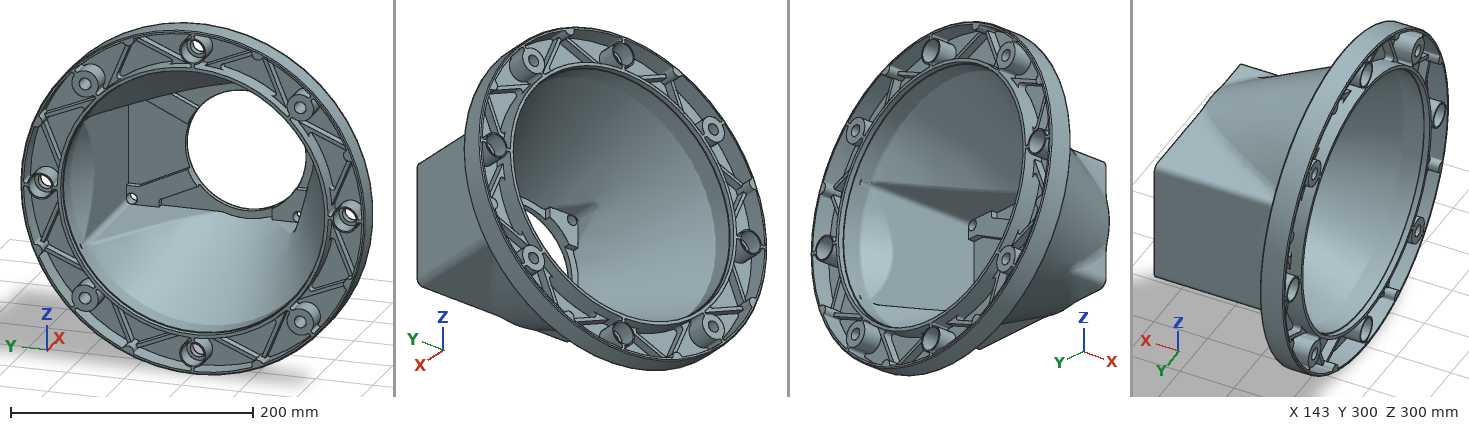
import cadquery as cq
import math

LENGTH = 143.0

FLANGE_RADIUS = 150.0
FLANGE_THICKNESS = 22.0
FLANGE_CHAMFER = 1.0
SPIGOT_RADIUS = 115.0
SPIGOT_DEPTH = 5.0
BORE_RADIUS = 114.2

POCKET_INNER_RADIUS = 118.0
POCKET_OUTER_RADIUS = 147.3
POCKET_DEPTH = 18.0
POCKET_CORNER = 1.4
RADIAL_RIB_WIDTH = 2.6
HUB_RADIUS = 5.0
HUB_CENTRE_RADIUS = 147.5
STRUT_WIDTH = 3.2
STRUT_TOP = 10.0
STRUT_LEAN = 45.0
STRUT_REACH = 60.0
STRUT_FOOT_ANGLE = 17.0
STRUT_FOOT_ROUND = 2.5
TOLERANCE = 0.01

BOLT_COUNT = 8
BOLT_STEP = 360.0 / BOLT_COUNT
BOLT_CIRCLE_RADIUS = 132.5
PLAIN_BOSS_RADIUS = 11.5
BUSH_BOSS_RADIUS = 11.3
PLAIN_HOLE_DIAMETER = 10.25
BUSH_HOLE_DIAMETER = 14.0
BUSH_BORE_DIAMETER = 20.15
BUSH_BORE_DEPTH = 15.0

CONE_BASE_RADIUS = 117.5
CONE_END_RADIUS = 61.0
CONE_SLOPE = (CONE_BASE_RADIUS - CONE_END_RADIUS) / (LENGTH - FLANGE_THICKNESS)

BOX_Y_MAX = 105.0
BOX_Y_MIN = -57.0
BOX_HALF_HEIGHT = 58.8
BOX_WIDE_CORNER = 6.4
BOX_NARROW_CORNER = 8.2
BOX_START = 5.0
BLEND_RADIUS = 12.0

CAVITY_Y_MAX = 101.9
CAVITY_Y_MIN = -54.3
CAVITY_HALF_HEIGHT = 55.7
CAVITY_CORNER = 4.7
CAVITY_START = 12.0
CAVITY_END_RADIUS = 59.2
CAVITY_CONE_START = 23.0
CAVITY_THROAT_ROUND = 5.0
CAVITY_BLEND = 4.0

FLOOR_X = 138.0
PAD_HEIGHT = 6.0
OPENING_DIAMETER = 105.0
MOUNT_HOLE_DIAMETER = 9.5
MOUNT_HOLE_Y = (97.2, -48.0)
MOUNT_HOLE_Z = 51.0
PAD_CORNER = 3.0
WIDE_PAD_OUTLINE = ((110, 39.7), (91.2, 39.7), (40, 15.8), (30, 29.5), (73.5, 49.3), (73.5, 65), (110, 65))
NARROW_PAD_OUTLINE = ((-25, 27), (-25, 65), (-65, 65), (-65, 27))


def at_x(x):
    """Workplane normal to X at the given station, with local axes Y and Z."""
    return cq.Workplane("YZ", origin=(x, 0, 0))


def disc(radius, start, end, centre=(0, 0)):
    return at_x(start).center(*centre).circle(radius).extrude(end - start)


def polar(radius, angle):
    return (radius * math.cos(math.radians(angle)), radius * math.sin(math.radians(angle)))


def box_block(y_min, y_max, half_height, start, end):
    return (
        at_x(start)
        .center((y_min + y_max) / 2, 0)
        .rect(y_max - y_min, 2 * half_height)
        .extrude(end - start)
    )


def flange_body():
    return disc(FLANGE_RADIUS, 0, FLANGE_THICKNESS).edges().chamfer(FLANGE_CHAMFER)


def outer_shell():
    """Cone and mounting box, blended into each other and trimmed at the back of the flange.

    The cone runs on through the flange so that the blend closes round the whole box.
    """
    full_base_radius = CONE_BASE_RADIUS + CONE_SLOPE * FLANGE_THICKNESS
    cone = (
        cq.Workplane("XY")
        .polyline([(0, 0), (0, full_base_radius), (LENGTH, CONE_END_RADIUS), (LENGTH, 0)])
        .close()
        .revolve(360, (0, 0, 0), (1, 0, 0))
    )
    box = box_block(BOX_Y_MIN, BOX_Y_MAX, BOX_HALF_HEIGHT, BOX_START, LENGTH)
    box = box.edges("|X and >Y").fillet(BOX_WIDE_CORNER)
    box = box.edges("|X and <Y").fillet(BOX_NARROW_CORNER)
    joined = cone.union(box)
    seams = [edge for edge in joined.edges().vals() if edge.geomType() in ("HYPERBOLA", "BSPLINE")]
    blended = joined.newObject(seams).fillet(BLEND_RADIUS)
    return blended.intersect(disc(FLANGE_RADIUS, FLANGE_THICKNESS, LENGTH))


def pads(cavity_box):
    """Raised areas round the mounting holes, running into the central opening."""
    start = FLOOR_X - PAD_HEIGHT
    wide = at_x(start).polyline(WIDE_PAD_OUTLINE).close().extrude(PAD_HEIGHT)
    wide = wide.edges("|X").fillet(PAD_CORNER)
    narrow = at_x(start).polyline(NARROW_PAD_OUTLINE).close().extrude(PAD_HEIGHT)
    upper = wide.union(narrow).intersect(cavity_box)
    return upper.union(upper.mirror("XY"))


def cavity_cone():
    """Spigot, bore and cone of the cavity, with a rounded edge where the bore meets the cone."""
    turn = math.atan2(BORE_RADIUS - CAVITY_END_RADIUS, FLOOR_X - CAVITY_CONE_START)
    tangent = CAVITY_THROAT_ROUND * math.tan(turn / 2)
    round_start = CAVITY_CONE_START - tangent
    round_middle = (
        round_start + CAVITY_THROAT_ROUND * math.sin(turn / 2),
        BORE_RADIUS - CAVITY_THROAT_ROUND * (1 - math.cos(turn / 2)),
    )
    round_end = (
        CAVITY_CONE_START + tangent * math.cos(turn),
        BORE_RADIUS - tangent * math.sin(turn),
    )
    return (
        cq.Workplane("XY")
        .moveTo(0, 0)
        .lineTo(0, SPIGOT_RADIUS)
        .lineTo(SPIGOT_DEPTH, SPIGOT_RADIUS)
        .lineTo(SPIGOT_DEPTH, BORE_RADIUS)
        .lineTo(round_start, BORE_RADIUS)
        .threePointArc(round_middle, round_end)
        .lineTo(FLOOR_X, CAVITY_END_RADIUS)
        .lineTo(FLOOR_X, 0)
        .close()
        .revolve(360, (0, 0, 0), (1, 0, 0))
    )


def cavity():
    box = box_block(CAVITY_Y_MIN, CAVITY_Y_MAX, CAVITY_HALF_HEIGHT, CAVITY_START, FLOOR_X)
    box = box.edges("|X").fillet(CAVITY_CORNER)
    joined = cavity_cone().union(box)
    seams = [edge for edge in joined.edges().vals() if edge.geomType() == "HYPERBOLA"]
    blended = joined.newObject(seams).fillet(CAVITY_BLEND)
    return blended.cut(pads(box))


def is_strut_foot(edge, hub_angle):
    """True where a strut meets the inner wall on the side facing the other strut of its hub."""
    middle = edge.Center()
    on_inner_wall = abs(math.hypot(middle.y, middle.z) - POCKET_INNER_RADIUS) < TOLERANCE
    beside_strut = abs(edge.Length() - (POCKET_DEPTH - STRUT_TOP)) < TOLERANCE
    offset = abs(math.degrees(math.atan2(middle.z, middle.y)) - hub_angle)
    return on_inner_wall and beside_strut and offset < STRUT_FOOT_ANGLE


def bolt_sector_pocket():
    """Pockets between a bushed boss on +Y and the plain boss one bolt step further round."""
    ring = disc(POCKET_OUTER_RADIUS, 0, POCKET_DEPTH).cut(disc(POCKET_INNER_RADIUS, 0, POCKET_DEPTH))
    far_corner = polar(2 * FLANGE_RADIUS, BOLT_STEP)
    wedge = (
        at_x(0)
        .polyline([(0, 0), (2 * FLANGE_RADIUS, 0), far_corner])
        .close()
        .extrude(POCKET_DEPTH)
    )
    pocket = ring.intersect(wedge)
    for angle, boss_radius in ((0, BUSH_BOSS_RADIUS), (BOLT_STEP, PLAIN_BOSS_RADIUS)):
        rib = at_x(0).rect(2 * FLANGE_RADIUS, RADIAL_RIB_WIDTH).extrude(POCKET_DEPTH)
        pocket = pocket.cut(rib.rotate((0, 0, 0), (1, 0, 0), angle))
        pocket = pocket.cut(disc(boss_radius, 0, POCKET_DEPTH, polar(BOLT_CIRCLE_RADIUS, angle)))
    hub_angle = BOLT_STEP / 2
    hub = polar(HUB_CENTRE_RADIUS, hub_angle)
    pocket = pocket.cut(disc(HUB_RADIUS, 0, POCKET_DEPTH, hub))
    pocket = pocket.edges("|X").fillet(POCKET_CORNER)
    for lean in (-STRUT_LEAN, STRUT_LEAN):
        strut = (
            at_x(STRUT_TOP)
            .center(STRUT_REACH / 2, 0)
            .rect(STRUT_REACH, STRUT_WIDTH)
            .extrude(POCKET_DEPTH - STRUT_TOP)
            .rotate((0, 0, 0), (1, 0, 0), hub_angle + 180 + lean)
            .translate((0, *hub))
        )
        pocket = pocket.cut(strut)
    feet = [edge for edge in pocket.edges("|X").vals() if is_strut_foot(edge, hub_angle)]
    return pocket.newObject(feet).fillet(STRUT_FOOT_ROUND)


def pocket_cutter():
    sector = bolt_sector_pocket()
    pair = sector.add(sector.mirror("XY")).combine()
    cutter = pair
    for angle in (90, 180, 270):
        cutter = cutter.add(pair.rotate((0, 0, 0), (1, 0, 0), angle))
    return cutter.combine()


def cut_flange_holes(body):
    for i in range(BOLT_COUNT):
        centre = polar(BOLT_CIRCLE_RADIUS, i * BOLT_STEP)
        if i % 2:
            body = body.cut(disc(PLAIN_HOLE_DIAMETER / 2, 0, FLANGE_THICKNESS, centre))
        else:
            body = body.cut(disc(BUSH_BORE_DIAMETER / 2, 0, BUSH_BORE_DEPTH, centre))
            body = body.cut(disc(BUSH_HOLE_DIAMETER / 2, 0, FLANGE_THICKNESS, centre))
    return body


def cut_end_wall_holes(body):
    body = body.cut(disc(OPENING_DIAMETER / 2, FLANGE_THICKNESS, LENGTH))
    for y in MOUNT_HOLE_Y:
        for z in (-MOUNT_HOLE_Z, MOUNT_HOLE_Z):
            body = body.cut(disc(MOUNT_HOLE_DIAMETER / 2, FLOOR_X - PAD_HEIGHT, LENGTH, (y, z)))
    return body


housing = flange_body().union(outer_shell()).cut(cavity()).cut(pocket_cutter())
result = cut_end_wall_holes(cut_flange_holes(housing))